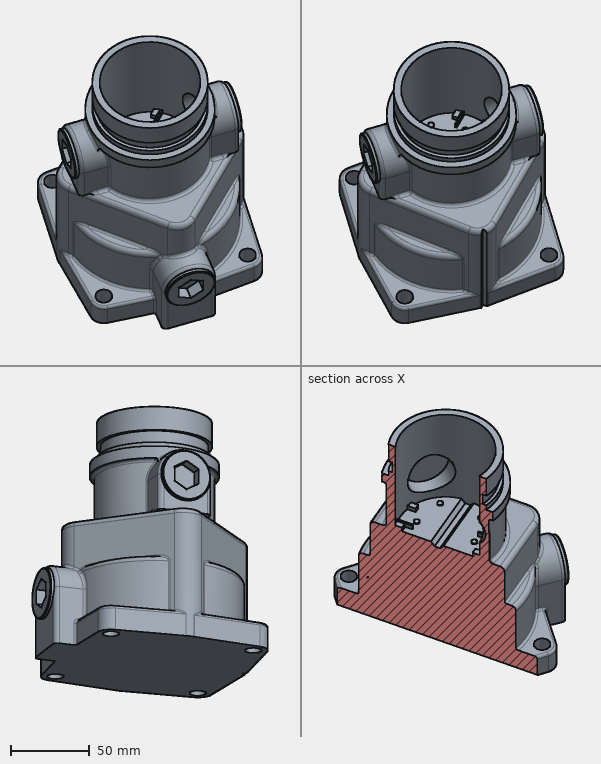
import cadquery as cq
import math

TOLERANCE = 0.08

flange_height = 16.5
tip_radius = 9.3
tip_reach = 77.9
corner_radius = 0.6
corner_reach = 62.2
flange_edge_fillet = 1.9
bolt_hole_diameter = 10.5
bolt_reach = tip_reach - tip_radius

housing_side = 95.7
housing_corner_radius = 13.1
housing_top = 85.7
housing_edge_fillet = 3.5
notch_reach = 42.6

drum_radius = 57.1
drum_top = 54.2
drum_edge_fillet = 3.5
drum_root_fillet = 1.6
drum_wall_fillet = 1.6

neck_radius = 38.3
neck_root_fillet = 2.4
collar_radius = 41.2
collar_bottom = 124.0
collar_top = 131.8
spigot_radius = 36.7
groove_radius = 34.3
groove_bottom = 135.8
groove_top = 144.0
total_height = 159.5

bore_radius = 31.9
plate_level = 86.2
slot_bottom_half_width = 1.9
slot_top_half_width = 4.5
slot_depth = 3.2
rivet_radius = 1.9
rivet_height = 0.8
rivet_side_x = 21.4
rivet_side_y = 14.5
rivet_middle_y = 20.5
lug_x = 9.5
lug_width = 3.8
lug_inner_y = 25.0
fin_x = 6.5
fin_width = 1.3
fin_inner_y = 20.0
stop_height = 3.2

UPPER_BOSS_ANGLES = (225, 45)
LOWER_BOSS_ANGLE = -45
boss_radius = 18.0
boss_edge_fillet = 3.2
upper_boss_root_fillet = 1.8
lower_boss_root_fillet = 2.4
upper_boss_level = 109.0
upper_boss_reach = 54.1
upper_boss_bottom = 85.4
lower_boss_level = 38.0
lower_boss_reach = 75.0
lower_boss_bottom = 0.0
plug_radius = 16.5
plug_thickness = 2.2
plug_chamfer = 0.6
socket_across_corners = 19.0
socket_depth = 8.0
port_radius = 16.0
port_reach = 41.5


def disc(x, y, radius, height):
    return cq.Workplane("XY").center(x, y).circle(radius).extrude(height)


def make_flange():
    """Convex outline around four tip circles and four blunt side corners."""
    circles = []
    for i in range(4):
        circles.append((math.radians(90 * i), bolt_reach, tip_radius))
        circles.append((math.radians(90 * i + 45), corner_reach - corner_radius, corner_radius))
    circles = [(reach * math.cos(a), reach * math.sin(a), r) for a, reach, r in circles]

    def tangent_angle(first, second):
        """Direction of the outward normal of the line touching two circles."""
        dx = second[0] - first[0]
        dy = second[1] - first[1]
        return math.atan2(dy, dx) - math.acos((first[2] - second[2]) / math.hypot(dx, dy))

    def on_circle(circle, angle):
        x, y, r = circle
        return (x + r * math.cos(angle), y + r * math.sin(angle))

    count = len(circles)
    normals = [tangent_angle(circles[i], circles[(i + 1) % count]) for i in range(count)]
    outline = cq.Workplane("XY").moveTo(*on_circle(circles[0], normals[0]))
    for i in range(1, count + 1):
        circle = circles[i % count]
        arrive = normals[i - 1]
        leave = normals[i % count]
        turn = (leave - arrive) % (2 * math.pi)
        outline = outline.lineTo(*on_circle(circle, arrive))
        outline = outline.threePointArc(on_circle(circle, arrive + turn / 2), on_circle(circle, leave))
    return outline.close().extrude(flange_height).faces(">Z").edges().fillet(flange_edge_fillet)


def make_housing():
    block = cq.Workplane("XY").rect(housing_side, housing_side).extrude(housing_top)
    block = block.edges("|Z").fillet(housing_corner_radius)
    return block.faces(">Z").edges().fillet(housing_edge_fillet)


def make_drum():
    return disc(0, 0, drum_radius, drum_top).faces(">Z").edges().fillet(drum_edge_fillet)


def make_neck():
    profile = [
        (0, housing_top - housing_edge_fillet),
        (neck_radius, housing_top - housing_edge_fillet),
        (neck_radius, collar_bottom),
        (collar_radius, collar_bottom),
        (collar_radius, collar_top),
        (spigot_radius, collar_top),
        (spigot_radius, groove_bottom),
        (groove_radius, groove_bottom),
        (groove_radius, groove_top),
        (spigot_radius, groove_top),
        (spigot_radius, total_height),
        (0, total_height),
    ]
    neck = cq.Workplane("XZ").polyline(profile).close().revolve(360, (0, 0, 0), (0, 1, 0))
    return neck.rotate((0, 0, 0), (0, 0, 1), UPPER_BOSS_ANGLES[0])


def aim(shape, angle, level):
    """Turn a shape built along +X to the given heading and lift it to its axis level."""
    return shape.rotate((0, 0, 0), (0, 0, 1), angle).translate((0, 0, level))


def make_boss(level, bottom, reach, angle):
    drop = level - bottom
    outline = (
        cq.Workplane("YZ")
        .moveTo(-boss_radius, -drop)
        .lineTo(-boss_radius, 0)
        .threePointArc((0, boss_radius), (boss_radius, 0))
        .lineTo(boss_radius, -drop)
        .close()
    )
    boss = outline.extrude(reach)
    boss = boss.faces(">X").edges("not(<Z)").fillet(boss_edge_fillet)
    return aim(boss, angle, level)


def make_plug(level, reach, angle):
    plug = cq.Workplane("YZ").circle(plug_radius).extrude(reach + plug_thickness)
    plug = plug.faces(">X").edges().chamfer(plug_chamfer)
    return aim(plug, angle, level)


def make_socket(level, reach, angle):
    face = reach + plug_thickness
    socket = (
        cq.Workplane("YZ", origin=(face - socket_depth, 0, 0))
        .polygon(6, socket_across_corners)
        .extrude(socket_depth)
    )
    return aim(socket.rotate((0, 0, 0), (1, 0, 0), 90), angle, level)


def near(value, target):
    return abs(value - target) < TOLERANCE


def axis_distance(edge):
    middle = edge.positionAt(0.5)
    return math.hypot(middle.x, middle.y)


def is_upper_boss_root(edge):
    """Edges where the neck or collar meets an upper boss, or the neck meets the collar."""
    middle = edge.positionAt(0.5)
    on_neck = near(axis_distance(edge), neck_radius) and upper_boss_bottom < middle.z - TOLERANCE
    on_collar_side = edge.geomType() == "BSPLINE" and axis_distance(edge) > neck_radius
    under_collar = edge.geomType() == "LINE" and near(middle.z, collar_bottom)
    return on_neck or on_collar_side or under_collar


def lies_on_housing_side(edge):
    box = edge.BoundingBox()
    half = housing_side / 2
    on_x = box.xlen < TOLERANCE and near(abs(edge.Center().x), half)
    on_y = box.ylen < TOLERANCE and near(abs(edge.Center().y), half)
    return on_x or on_y


def is_drum_wall_root(edge):
    """Edges where the drum meets the flat sides of the housing."""
    if not lies_on_housing_side(edge):
        return False
    on_top = near(edge.Center().z, drum_top)
    upright = edge.geomType() == "LINE" and near(axis_distance(edge), drum_radius)
    return on_top or upright or edge.geomType() == "BSPLINE"


def is_lower_boss_root(edge):
    """Edges where the lower boss meets the drum and the housing."""
    if lies_on_housing_side(edge):
        return edge.geomType() == "ELLIPSE"
    upright = edge.geomType() == "LINE" and near(axis_distance(edge), drum_radius)
    return upright or edge.geomType() == "BSPLINE"


def is_drum_foot(edge):
    return near(edge.Center().z, flange_height) and near(axis_distance(edge), drum_radius)


def is_neck_foot(edge):
    return near(edge.Center().z, housing_top) and near(axis_distance(edge), neck_radius)


def make_valve_plate_details():
    """Rivet heads, lugs and fins standing on the plate at the floor of the bore."""
    details = cq.Workplane("XY", origin=(0, 0, plate_level))
    rivets = [(0, rivet_middle_y), (0, -rivet_middle_y)]
    for side_x in (-rivet_side_x, rivet_side_x):
        for side_y in (-rivet_side_y, rivet_side_y):
            rivets.append((side_x, side_y))
    shape = details.pushPoints(rivets).circle(rivet_radius).extrude(rivet_height)
    stops = [(x, lug_width, lug_inner_y, turn) for x in (-lug_x, lug_x) for turn in (0, 180)]
    stops += [(-fin_x, fin_width, fin_inner_y, turn) for turn in (0, 180)]
    for x, width, inner_y, turn in stops:
        length = bore_radius - inner_y
        stop = details.center(x, inner_y + length / 2).rect(width, length).extrude(stop_height)
        shape = shape.union(stop.rotate((0, 0, 0), (0, 0, 1), turn))
    return shape


def make_plate_slot():
    """Groove with sloping sides across the plate."""
    profile = [
        (-slot_top_half_width, plate_level),
        (-slot_bottom_half_width, plate_level - slot_depth),
        (slot_bottom_half_width, plate_level - slot_depth),
        (slot_top_half_width, plate_level),
    ]
    return cq.Workplane("YZ").polyline(profile).close().extrude(bore_radius, both=True).intersect(
        disc(0, 0, bore_radius, total_height)
    )


upper = make_neck()
for angle in UPPER_BOSS_ANGLES:
    upper = upper.union(make_boss(upper_boss_level, upper_boss_bottom, upper_boss_reach, angle))
upper = upper.edges().filter(is_upper_boss_root).fillet(upper_boss_root_fillet)

lower = make_housing().union(make_drum())
lower = lower.edges().filter(is_drum_wall_root).fillet(drum_wall_fillet)
lower = lower.union(make_boss(lower_boss_level, lower_boss_bottom, lower_boss_reach, LOWER_BOSS_ANGLE))
lower = lower.edges().filter(is_lower_boss_root).fillet(lower_boss_root_fillet)

result = lower.union(make_flange())
result = result.edges().filter(is_drum_foot).fillet(drum_root_fillet)
result = result.union(upper)
result = result.edges().filter(is_neck_foot).fillet(neck_root_fillet)

notch = cq.Workplane("XY").rect(housing_side, housing_side).extrude(total_height)
result = result.cut(notch.translate((-notch_reach - housing_side / 2, notch_reach + housing_side / 2, 0)))

for i in range(4):
    angle = math.radians(90 * i)
    x = bolt_reach * math.cos(angle)
    y = bolt_reach * math.sin(angle)
    result = result.cut(disc(x, y, bolt_hole_diameter / 2, flange_height))

plugs = [(upper_boss_level, upper_boss_reach, angle) for angle in UPPER_BOSS_ANGLES]
plugs.append((lower_boss_level, lower_boss_reach, LOWER_BOSS_ANGLE))
for plug in plugs:
    result = result.union(make_plug(*plug))
for plug in plugs:
    result = result.cut(make_socket(*plug))

bore = disc(0, 0, bore_radius, total_height - plate_level).translate((0, 0, plate_level))
result = result.cut(bore)
for angle in UPPER_BOSS_ANGLES:
    port = cq.Workplane("YZ").circle(port_radius).extrude(port_reach)
    result = result.cut(aim(port, angle, upper_boss_level))
result = result.cut(make_plate_slot()).union(make_valve_plate_details())